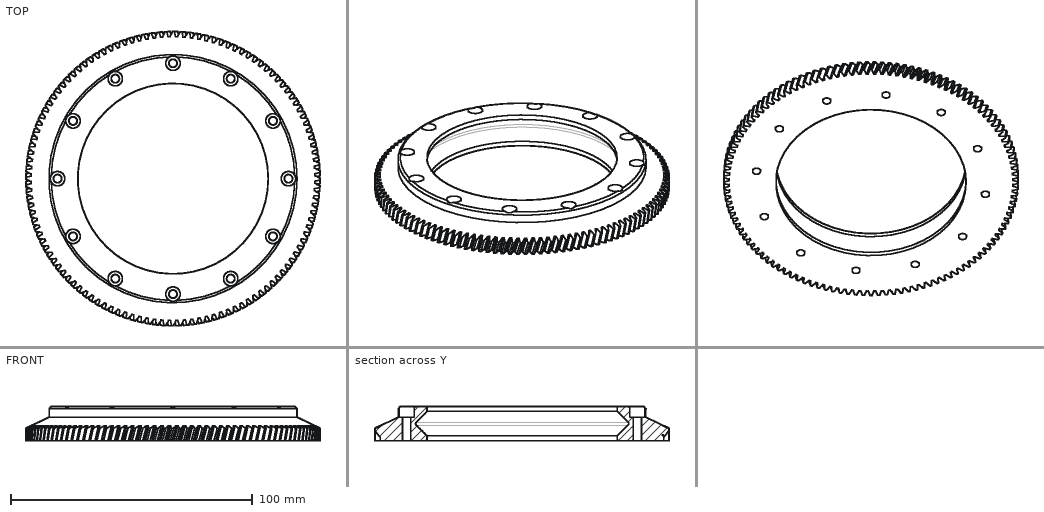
import cadquery as cq
import math

outer_diameter = 122.0
height = 14.3
bore_diameter = 78.8
hub_diameter = 102.8
hub_height = 4.4
hub_chamfer = 1.0
rim_height = 5.2

lip_height = 2.1
groove_fillet = 0.9

tooth_count = 120
module = outer_diameter / (tooth_count + 2)
dedendum_factor = 1.25
pressure_angle = math.radians(20)
helix_angle = math.radians(15)
cut_clearance = 0.5

hole_count = 12
bolt_circle_diameter = 95.6
hole_diameter = 3.3
counterbore_diameter = 6.0
counterbore_depth = 4.4

outer_radius = outer_diameter / 2
bore_radius = bore_diameter / 2
hub_radius = hub_diameter / 2
hub_base_z = height - hub_height
pitch_radius = module * tooth_count / 2
base_radius = pitch_radius * math.cos(pressure_angle)
root_radius = pitch_radius - dedendum_factor * module


def make_ring():
    """Revolve the ring section: straight rim, conical shoulder, hub and plain bore."""
    return (
        cq.Workplane("XZ")
        .moveTo(bore_radius, 0)
        .lineTo(outer_radius, 0)
        .lineTo(outer_radius, rim_height)
        .lineTo(hub_radius, hub_base_z)
        .lineTo(hub_radius, height - hub_chamfer)
        .lineTo(hub_radius - hub_chamfer, height)
        .lineTo(bore_radius, height)
        .close()
        .revolve(360, (0, 0, 0), (0, 1, 0))
    )


def make_roller_groove():
    """Revolve the V groove, centred at mid height, with its bottom blended by a tangent arc."""
    middle_z = height / 2
    apex_radius = bore_radius + middle_z - lip_height
    arc_half_height = groove_fillet * math.sin(math.pi / 4)
    arc_start_radius = apex_radius - arc_half_height
    arc_bottom_radius = apex_radius - groove_fillet * (math.sqrt(2) - 1)
    inside_radius = bore_radius - cut_clearance
    return (
        cq.Workplane("XZ")
        .moveTo(inside_radius, lip_height)
        .lineTo(bore_radius, lip_height)
        .lineTo(arc_start_radius, middle_z - arc_half_height)
        .threePointArc(
            (arc_bottom_radius, middle_z),
            (arc_start_radius, middle_z + arc_half_height),
        )
        .lineTo(bore_radius, height - lip_height)
        .lineTo(inside_radius, height - lip_height)
        .close()
        .revolve(360, (0, 0, 0), (0, 1, 0))
    )


def involute(angle):
    return math.tan(angle) - angle


def flank_point(radius, side):
    """Point on one involute flank (side is -1 or 1) of the tooth gap centred on +X."""
    flank_angle = math.acos(base_radius / radius)
    half_gap = math.pi / (2 * tooth_count) + involute(flank_angle) - involute(pressure_angle)
    return radius * math.cos(half_gap), side * radius * math.sin(half_gap)


def make_tooth_gap():
    """Twist one tooth gap around the Z axis, long enough to run out through the shoulder."""
    shoulder_slope = (hub_base_z - rim_height) / (outer_radius - hub_radius)
    gap_height = rim_height + shoulder_slope * (outer_radius - root_radius) + cut_clearance
    twist = math.degrees(gap_height * math.tan(helix_angle) / pitch_radius)
    tip_radius = outer_radius + cut_clearance
    middle_radius = (root_radius + tip_radius) / 2
    return (
        cq.Workplane("XY")
        .moveTo(*flank_point(root_radius, -1))
        .threePointArc(flank_point(middle_radius, -1), flank_point(tip_radius, -1))
        .lineTo(*flank_point(tip_radius, 1))
        .threePointArc(flank_point(middle_radius, 1), flank_point(root_radius, 1))
        .close()
        .twistExtrude(gap_height, twist)
    )


def cut_teeth(body):
    gap = make_tooth_gap().val()
    origin = cq.Vector(0, 0, 0)
    z_axis = cq.Vector(0, 0, 1)
    gaps = [gap.rotate(origin, z_axis, i * 360 / tooth_count) for i in range(tooth_count)]
    return body.cut(cq.Workplane(cq.Compound.makeCompound(gaps)), clean=False)


def cut_screw_holes(body):
    return (
        body.faces(">Z")
        .workplane(origin=(0, 0, height))
        .polarArray(bolt_circle_diameter / 2, 0, 360, hole_count)
        .cboreHole(hole_diameter, counterbore_diameter, counterbore_depth)
    )


ring = make_ring().cut(make_roller_groove())
result = cut_teeth(cut_screw_holes(ring))